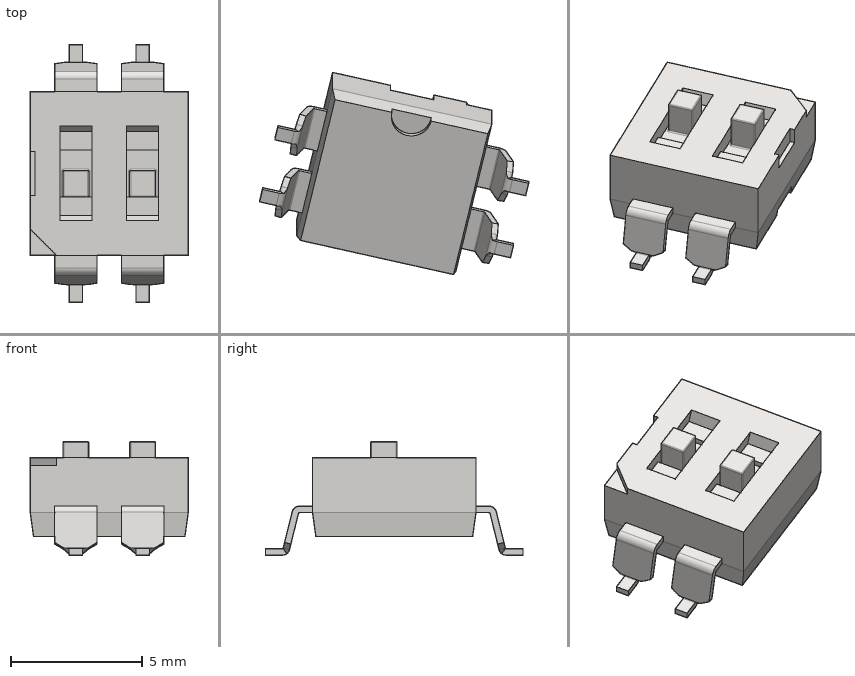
import cadquery as cq
import math

HOUSING_WIDTH = 6.02
HOUSING_DEPTH = 6.22
HOUSING_TOP = 3.71
PARTING_HEIGHT = 1.62
HOUSING_BOTTOM = 0.71
BASE_INSET = 0.13

CORNER_LEG = 1.0
CORNER_DEPTH = 0.3
RECESS_LENGTH = 1.69
RECESS_DEPTH = 0.19
RECESS_HEIGHT = 0.62
BOTTOM_NOTCH_RADIUS = 0.76
BOTTOM_NOTCH_HEIGHT = 0.29

PITCH = 2.54
POSITIONS = [-PITCH / 2, PITCH / 2]

SLOT_WIDTH = 1.225
SLOT_LENGTH = 3.6
SLOT_DEPTH = 0.43
SLOT_END_INSET = 0.21
POCKET_LENGTH = 1.79
PLATE_DEPTH = 0.23

SLIDER_TOP = 4.32
POST_WIDTH = 0.98
POST_LENGTH = 1.01
POST_FILLET = 0.04
FOOT_FILLET = 0.05
PLATE_THICKNESS = 0.245

LEAD_WIDTH = 1.62
ANKLE_WIDTH = 0.91
FOOT_WIDTH = 0.51
LEAD_THICKNESS = 0.25
LEAD_END = 4.9
LEAD_LEAN = 14.0
KNEE_START = 3.6
KNEE_DIAMETER = 0.6
ANKLE_DIAMETER = 0.57
TAPER_LENGTH = 0.22

SLOT_FLOOR = HOUSING_TOP - SLOT_DEPTH
PLATE_TOP = SLOT_FLOOR - PLATE_DEPTH
PLATE_BOTTOM = PLATE_TOP - PLATE_THICKNESS


def block(x_size, y_size, z_low, z_high):
    """Box centered on the Z axis between two heights."""
    return (
        cq.Workplane("XY", origin=(0, 0, z_low))
        .rect(x_size, y_size)
        .extrude(z_high - z_low)
    )


def make_shell():
    base_height = PARTING_HEIGHT - HOUSING_BOTTOM
    base_taper = math.degrees(math.atan(BASE_INSET / base_height))
    upper = block(HOUSING_WIDTH, HOUSING_DEPTH, PARTING_HEIGHT, HOUSING_TOP)
    base = (
        cq.Workplane("XY", origin=(0, 0, PARTING_HEIGHT))
        .rect(HOUSING_WIDTH, HOUSING_DEPTH)
        .extrude(-base_height, taper=base_taper)
    )
    return upper.union(base)


def corner_notch():
    left = -HOUSING_WIDTH / 2
    front = -HOUSING_DEPTH / 2
    return (
        cq.Workplane("XY", origin=(left, front, HOUSING_TOP))
        .polyline([(0, 0), (CORNER_LEG, 0), (0, CORNER_LEG)])
        .close()
        .extrude(-CORNER_DEPTH)
    )


def grip_recess():
    recess = block(2 * RECESS_DEPTH, RECESS_LENGTH, HOUSING_TOP - RECESS_HEIGHT, HOUSING_TOP)
    return recess.translate((-HOUSING_WIDTH / 2, 0, 0))


def bottom_notch():
    return (
        cq.Workplane("XY", origin=(BASE_INSET - HOUSING_WIDTH / 2, 0, HOUSING_BOTTOM))
        .circle(BOTTOM_NOTCH_RADIUS)
        .extrude(BOTTOM_NOTCH_HEIGHT)
    )


def switch_slot(x):
    half_top = SLOT_LENGTH / 2
    half_floor = half_top - SLOT_END_INSET
    half_pocket = POCKET_LENGTH / 2
    return (
        cq.Workplane("YZ", origin=(x, 0, 0))
        .polyline([
            (-half_top, HOUSING_TOP),
            (-half_floor, SLOT_FLOOR),
            (-half_pocket, SLOT_FLOOR),
            (-half_pocket, PLATE_BOTTOM),
            (half_pocket, PLATE_BOTTOM),
            (half_pocket, SLOT_FLOOR),
            (half_floor, SLOT_FLOOR),
            (half_top, HOUSING_TOP),
        ])
        .close()
        .extrude(SLOT_WIDTH / 2, both=True)
    )


def make_housing():
    housing = make_shell().cut(corner_notch()).cut(grip_recess()).cut(bottom_notch())
    for x in POSITIONS:
        housing = housing.cut(switch_slot(x))
    return housing


def make_slider(x):
    pocket = block(SLOT_WIDTH, POCKET_LENGTH, PLATE_BOTTOM, SLIDER_TOP)
    post_y = (POST_LENGTH - POCKET_LENGTH) / 2
    post = (
        block(POST_WIDTH, POST_LENGTH, PLATE_BOTTOM, SLIDER_TOP)
        .edges("|Z or >Z")
        .fillet(POST_FILLET)
        .translate((0, post_y, 0))
    )
    plate = block(2 * SLOT_WIDTH, 2 * POCKET_LENGTH, PLATE_BOTTOM, PLATE_TOP)
    foot_edges = cq.selectors.BoxSelector(
        (-SLOT_WIDTH / 2, -POCKET_LENGTH, PLATE_TOP - FOOT_FILLET),
        (SLOT_WIDTH / 2, POCKET_LENGTH, PLATE_TOP + FOOT_FILLET),
    )
    slider = plate.union(post).edges(foot_edges).fillet(FOOT_FILLET)
    return slider.intersect(pocket).translate((x, 0, 0))


LEAN = math.radians(LEAD_LEAN)
LEAD_TOP = PARTING_HEIGHT + LEAD_THICKNESS
KNEE_RADIUS = KNEE_DIAMETER / 2
ANKLE_RADIUS = ANKLE_DIAMETER / 2
KNEE_CENTER = (KNEE_START, LEAD_TOP - KNEE_RADIUS)
ANKLE_INNER_RADIUS = ANKLE_RADIUS - LEAD_THICKNESS
ANKLE_DROP = KNEE_CENTER[1] - ANKLE_RADIUS
ANKLE_REACH = (KNEE_RADIUS + ANKLE_INNER_RADIUS + ANKLE_DROP * math.sin(LEAN)) / math.cos(LEAN)
ANKLE_CENTER = (KNEE_START + ANKLE_REACH, ANKLE_RADIUS)
ANKLE_START = LEAN + math.pi
ANKLE_MIDDLE = (ANKLE_START + 3 * math.pi / 2) / 2


def on_circle(center, radius, angle):
    return (center[0] + radius * math.cos(angle), center[1] + radius * math.sin(angle))


def bent_strip(width):
    """Side profile of the lead in the YZ plane, extruded to one width throughout."""
    knee_inner = KNEE_RADIUS - LEAD_THICKNESS
    knee_middle = (LEAN + math.pi / 2) / 2
    return (
        cq.Workplane("YZ")
        .moveTo(HOUSING_DEPTH / 2, LEAD_TOP)
        .lineTo(KNEE_START, LEAD_TOP)
        .threePointArc(
            on_circle(KNEE_CENTER, KNEE_RADIUS, knee_middle),
            on_circle(KNEE_CENTER, KNEE_RADIUS, LEAN),
        )
        .lineTo(*on_circle(ANKLE_CENTER, ANKLE_INNER_RADIUS, ANKLE_START))
        .threePointArc(
            on_circle(ANKLE_CENTER, ANKLE_INNER_RADIUS, ANKLE_MIDDLE),
            (ANKLE_CENTER[0], LEAD_THICKNESS),
        )
        .lineTo(LEAD_END, LEAD_THICKNESS)
        .lineTo(LEAD_END, 0)
        .lineTo(ANKLE_CENTER[0], 0)
        .threePointArc(
            on_circle(ANKLE_CENTER, ANKLE_RADIUS, ANKLE_MIDDLE),
            on_circle(ANKLE_CENTER, ANKLE_RADIUS, ANKLE_START),
        )
        .lineTo(*on_circle(KNEE_CENTER, knee_inner, LEAN))
        .threePointArc(
            on_circle(KNEE_CENTER, knee_inner, knee_middle),
            (KNEE_START, PARTING_HEIGHT),
        )
        .lineTo(HOUSING_DEPTH / 2, PARTING_HEIGHT)
        .close()
        .extrude(width / 2, both=True)
    )


def leg_outline():
    """Width outline of the lead down to the lower bend, extruded square to the leg."""
    plane = cq.Plane(
        origin=(0, *ANKLE_CENTER),
        xDir=(1, 0, 0),
        normal=(0, -math.cos(LEAN), -math.sin(LEAN)),
    )
    half_leg = LEAD_WIDTH / 2
    half_ankle = ANKLE_WIDTH / 2
    reach = LEAD_END
    return (
        cq.Workplane(plane)
        .polyline([
            (-half_ankle, 0),
            (half_ankle, 0),
            (half_leg, TAPER_LENGTH),
            (half_leg, reach),
            (-half_leg, reach),
            (-half_leg, TAPER_LENGTH),
        ])
        .close()
        .extrude(reach, both=True)
    )


def ankle_section(width, angle):
    """Rectangle on a radial plane of the lower bend, spanning more than the strip's thickness."""
    near = on_circle(ANKLE_CENTER, ANKLE_INNER_RADIUS / 2, angle)
    far = on_circle(ANKLE_CENTER, 2 * ANKLE_RADIUS, angle)
    half = width / 2
    corners = [(-half, *near), (half, *near), (half, *far), (-half, *far)]
    return cq.Wire.makePolygon([cq.Vector(*corner) for corner in corners], close=True)


def ankle_outline():
    """The lead narrows to the foot's width over the first half of the lower bend."""
    sections = [
        ankle_section(ANKLE_WIDTH, ANKLE_START),
        ankle_section(FOOT_WIDTH, ANKLE_MIDDLE),
    ]
    return cq.Workplane(cq.Solid.makeLoft(sections, True))


def make_lead(x, turn):
    strip = bent_strip(LEAD_WIDTH)
    lead = strip.intersect(leg_outline()).union(strip.intersect(ankle_outline()))
    lead = lead.union(bent_strip(FOOT_WIDTH))
    return lead.rotate((0, 0, 0), (0, 0, 1), turn).translate((x, 0, 0))


housing = make_housing()
sliders = [make_slider(x) for x in POSITIONS]
leads = [make_lead(x, turn) for x in POSITIONS for turn in (0, 180)]

result = cq.Compound.makeCompound([
    housing.val(),
    *[slider.val() for slider in sliders],
    *[lead.val() for lead in leads],
])